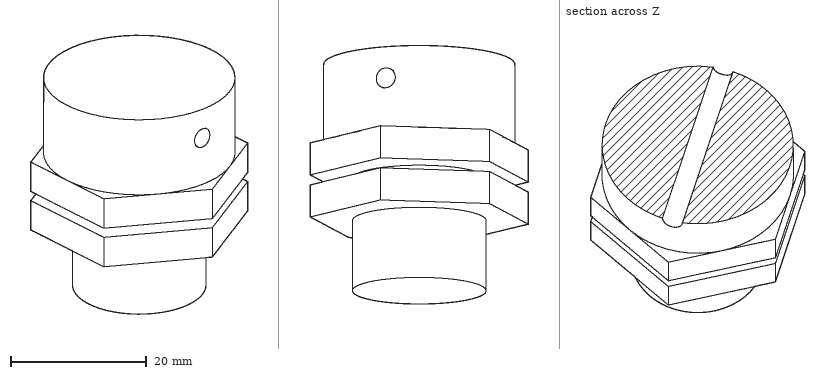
import cadquery as cq
import math

total_height = 34.05
head_diameter = 28.25
hex_across_flats = head_diameter
hex_across_corners = hex_across_flats / math.cos(math.radians(30))
shank_diameter = 19.75

hex_thickness = 4.85
nut_base = 10.55
hex_gap = 1.5
collar_base = nut_base + hex_thickness + hex_gap
collar_top = collar_base + hex_thickness

hole_diameter = 3.0
hole_below_top = 4.7


def cylinder(diameter, bottom, top):
    """Vertical cylinder between two heights."""
    return cq.Workplane("XY").workplane(offset=bottom).circle(diameter / 2).extrude(top - bottom)


def hexagon(bottom):
    """Hexagonal plate with its corners on the X axis."""
    return (
        cq.Workplane("XY")
        .workplane(offset=bottom)
        .polygon(6, hex_across_corners)
        .extrude(hex_thickness)
    )


def cross_hole():
    """Cylinder along X that passes right through the head."""
    return (
        cq.Workplane("YZ")
        .center(0, total_height - hole_below_top)
        .circle(hole_diameter / 2)
        .extrude(head_diameter, both=True)
    )


shank = cylinder(shank_diameter, 0, collar_base)
head = cylinder(head_diameter, collar_top, total_height)
body = shank.union(hexagon(nut_base)).union(hexagon(collar_base)).union(head)

result = body.cut(cross_hole())